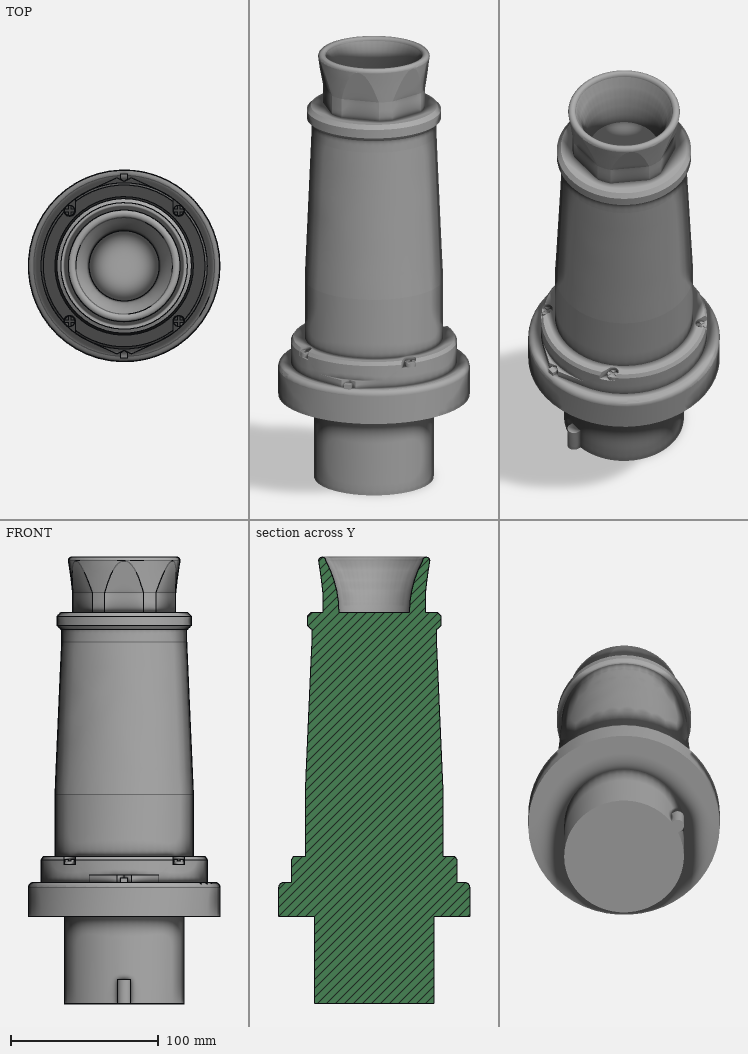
import cadquery as cq
import math

SPIGOT_R = 81.2 / 2
FLANGE_R = 130.0 / 2
FLANGE_BOTTOM = 59.0
FLANGE_TOP = 82.5
FLANGE_ROUND = 3.5
DISC_R = 56.5
DISC_TOP = 100.0
DISC_BEVEL_WIDTH = 1.5
DISC_BEVEL_HEIGHT = 2.5
BARREL_R = 47.0
TAPER_START = 141.8
TAPER_END = 245.5
NECK_R = 42.5

COLLAR_R = 91.2 / 2
COLLAR_BOTTOM = 254.0
COLLAR_TOP = 265.5
COLLAR_BEVEL = 2.7

TOTAL_HEIGHT = 303.0
HEX_FLAT_DISTANCE = 32.5
HEX_CORNER_R = 70.0 / 2
FLARE_START = 278.8
RIM_R = 38.0
RIM_ROUND = 2.58
RIM_CENTRE_Z = TOTAL_HEIGHT - RIM_ROUND
MOUTH_R = RIM_R - 2 * RIM_ROUND
MOUTH_FLOOR_R = 47.5 / 2

KEY_HALF_WIDTH = 8.8 / 2
KEY_REACH = 47.0
KEY_HEIGHT = 16.5

SCREW_X = 37.0
SCREW_Y = 37.5
SLOT_R = 4.0
SLOT_FLOOR = 94.5
HEAD_R = 7.0 / 2
HEAD_TOP = 98.0
CROSS_WIDTH = 1.8
CROSS_DEPTH = 1.0

WEDGE_HALF_ANGLE = 24.5
WEDGE_TIP_Y = 59.7
WEDGE_NOTCH_Y = 57.3
WEDGE_HEIGHT = 4.8
PIN_HALF_WIDTH = 2.5
PIN_OUTER_Y = 62.5
PIN_SHOULDER_Y = 59.0
PIN_POINT_Y = 57.0
PIN_HEIGHT = 3.0


def make_turned_body():
    """Spigot, flange, disc, barrel and collar as one revolved outline."""
    round_mid = FLANGE_ROUND * (1 - math.sqrt(0.5))
    collar_foot_r = COLLAR_R - COLLAR_BEVEL
    return (
        cq.Workplane("XZ")
        .moveTo(0, 0)
        .lineTo(SPIGOT_R, 0)
        .lineTo(SPIGOT_R, FLANGE_BOTTOM)
        .lineTo(FLANGE_R, FLANGE_BOTTOM)
        .lineTo(FLANGE_R, FLANGE_TOP - FLANGE_ROUND)
        .threePointArc(
            (FLANGE_R - round_mid, FLANGE_TOP - round_mid),
            (FLANGE_R - FLANGE_ROUND, FLANGE_TOP),
        )
        .lineTo(DISC_R, FLANGE_TOP)
        .lineTo(DISC_R, DISC_TOP - DISC_BEVEL_HEIGHT)
        .lineTo(DISC_R - DISC_BEVEL_WIDTH, DISC_TOP)
        .lineTo(BARREL_R, DISC_TOP)
        .lineTo(BARREL_R, TAPER_START)
        .lineTo(NECK_R, TAPER_END)
        .lineTo(NECK_R, COLLAR_BOTTOM)
        .lineTo(collar_foot_r, COLLAR_BOTTOM)
        .lineTo(COLLAR_R, COLLAR_BOTTOM + COLLAR_BEVEL)
        .lineTo(COLLAR_R, COLLAR_TOP - COLLAR_BEVEL)
        .lineTo(collar_foot_r, COLLAR_TOP)
        .lineTo(0, COLLAR_TOP)
        .close()
        .revolve(360, (0, 0, 0), (0, 1, 0))
    )


def make_hexagon(flat_distance, z):
    """Closed hexagon at height z with two of its flats facing +Y and -Y."""
    corner_diameter = 2 * flat_distance / math.cos(math.pi / 6)
    return cq.Workplane("XY").workplane(offset=z).polygon(6, corner_diameter)


def make_nut():
    """Straight hexagon, then flats that lean outward until they vanish in the flared cone."""
    envelope = (
        cq.Workplane("XZ")
        .moveTo(0, COLLAR_TOP)
        .lineTo(HEX_CORNER_R, COLLAR_TOP)
        .lineTo(HEX_CORNER_R, FLARE_START)
        .lineTo(RIM_R, RIM_CENTRE_Z)
        .threePointArc((RIM_R - RIM_ROUND, TOTAL_HEIGHT), (MOUTH_R, RIM_CENTRE_Z))
        .lineTo(0, RIM_CENTRE_Z)
        .close()
        .revolve(360, (0, 0, 0), (0, 1, 0))
    )
    flare_angle = math.degrees(
        math.atan2(RIM_R - HEX_FLAT_DISTANCE, RIM_CENTRE_Z - FLARE_START)
    )
    straight_hex = make_hexagon(HEX_FLAT_DISTANCE, COLLAR_TOP).extrude(FLARE_START - COLLAR_TOP)
    flared_hex = make_hexagon(HEX_FLAT_DISTANCE, FLARE_START).extrude(
        TOTAL_HEIGHT - FLARE_START, taper=-flare_angle
    )
    return envelope.intersect(straight_hex.union(flared_hex)).cut(make_mouth())


def make_mouth():
    """Bell-shaped cavity whose wall starts vertical at the floor and curves outward."""
    depth = RIM_CENTRE_Z - COLLAR_TOP
    spread = MOUTH_R - MOUTH_FLOOR_R
    bell_radius = (depth**2 + spread**2) / (2 * spread)
    half_sweep = math.asin(depth / bell_radius) / 2
    bell_mid = (
        MOUTH_FLOOR_R + bell_radius * (1 - math.cos(half_sweep)),
        COLLAR_TOP + bell_radius * math.sin(half_sweep),
    )
    return (
        cq.Workplane("XZ")
        .moveTo(0, COLLAR_TOP)
        .lineTo(MOUTH_FLOOR_R, COLLAR_TOP)
        .threePointArc(bell_mid, (MOUTH_R, RIM_CENTRE_Z))
        .lineTo(0, RIM_CENTRE_Z)
        .close()
        .revolve(360, (0, 0, 0), (0, 1, 0))
    )


def make_key():
    """Round-nosed key standing out of the spigot on the -Y side."""
    nose_y = KEY_REACH - KEY_HALF_WIDTH
    return (
        cq.Workplane("XY")
        .moveTo(-KEY_HALF_WIDTH, 0)
        .lineTo(-KEY_HALF_WIDTH, -nose_y)
        .threePointArc((0, -KEY_REACH), (KEY_HALF_WIDTH, -nose_y))
        .lineTo(KEY_HALF_WIDTH, 0)
        .close()
        .extrude(KEY_HEIGHT)
    )


def make_screw_slot(x_side, y_side):
    """Round-ended slot that runs out through the edge of the disc."""
    x = x_side * SCREW_X
    y = y_side * SCREW_Y
    y_outside = y_side * DISC_R
    floor = cq.Workplane("XY").workplane(offset=SLOT_FLOOR)
    depth = DISC_TOP - SLOT_FLOOR
    round_end = floor.center(x, y).circle(SLOT_R).extrude(depth)
    run_out = floor.center(x, (y + y_outside) / 2).rect(2 * SLOT_R, DISC_R - SCREW_Y).extrude(depth)
    return round_end.union(run_out)


def make_screw_head(x_side, y_side):
    """Low cylindrical head with a cross recess."""
    head = cq.Workplane("XY").circle(HEAD_R).extrude(HEAD_TOP - SLOT_FLOOR)
    for length_x, length_y in ((2 * HEAD_R, CROSS_WIDTH), (CROSS_WIDTH, 2 * HEAD_R)):
        head = head.faces(">Z").workplane(origin=(0, 0, 0)).rect(length_x, length_y).cutBlind(-CROSS_DEPTH)
    return head.translate((x_side * SCREW_X, y_side * SCREW_Y, SLOT_FLOOR))


def make_pointer():
    """Wedge tangent to the disc on the +Y side, with a pin seated in the notch of its tip."""
    angle = math.radians(WEDGE_HALF_ANGLE)
    tangent_x = DISC_R * math.sin(angle)
    tangent_y = DISC_R * math.cos(angle)
    tip_x = (DISC_R / math.cos(angle) - WEDGE_TIP_Y) / math.tan(angle)
    wedge = (
        cq.Workplane("XY")
        .workplane(offset=FLANGE_TOP)
        .polyline(
            [
                (0, 0),
                (tangent_x, tangent_y),
                (tip_x, WEDGE_TIP_Y),
                (0, WEDGE_NOTCH_Y),
                (-tip_x, WEDGE_TIP_Y),
                (-tangent_x, tangent_y),
            ]
        )
        .close()
        .extrude(WEDGE_HEIGHT)
    )
    pin = (
        cq.Workplane("XY")
        .workplane(offset=FLANGE_TOP - FLANGE_ROUND)
        .polyline(
            [
                (-PIN_HALF_WIDTH, PIN_OUTER_Y),
                (PIN_HALF_WIDTH, PIN_OUTER_Y),
                (PIN_HALF_WIDTH, PIN_SHOULDER_Y),
                (0, PIN_POINT_Y),
                (-PIN_HALF_WIDTH, PIN_SHOULDER_Y),
            ]
        )
        .close()
        .extrude(FLANGE_ROUND + PIN_HEIGHT)
    )
    return wedge.union(pin)


result = make_turned_body().union(make_nut()).union(make_key())

for x_side in (-1, 1):
    for y_side in (-1, 1):
        result = result.cut(make_screw_slot(x_side, y_side))
        result = result.union(make_screw_head(x_side, y_side))

pointer = make_pointer()
result = result.union(pointer).union(pointer.mirror("XZ"))